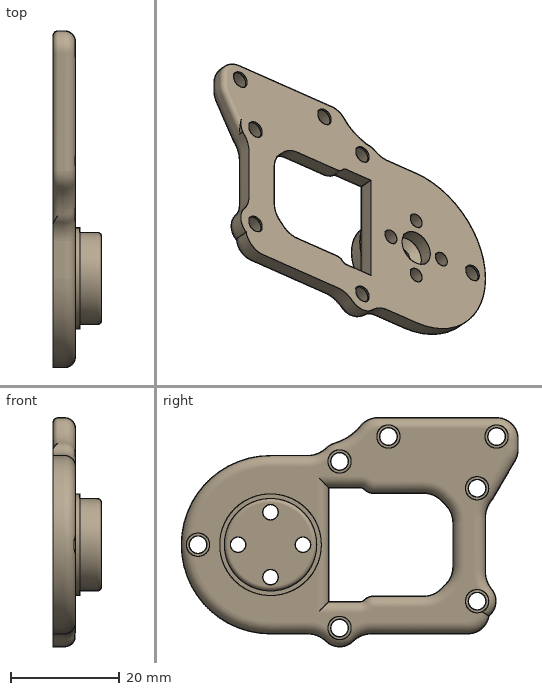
import cadquery as cq
import math


plate_thickness = 4.2
front_round = 2.1
back_round = 1.0
trim_margin = 1.0
lug_clearance = 0.02
end_radius = 16.5
side_y = 39.75
corner_radius = 4.0
corner_y = 36.45

lug_radius = 3.5
middle_lug = (12.77, 15.4)
side_lug = (38.2, 10.44)
middle_blend = 5.0
side_blend = 5.0

flap_top = 23.5
flap_outer_y = 45.8
flap_inner_center = (19.8, flap_top - corner_radius)
flap_outer_center_y = flap_outer_y - corner_radius
flap_lower_center = (flap_outer_center_y, 17.6)
flap_blend = 10.0

window_inner_y = 10.8
window_outer_y = 33.7
window_half_height = 10.5
window_narrow_half_height = 9.5
window_step_y = 17.55
window_step_width = 1.0
window_step_convex_radius = 2.2
window_step_concave_radius = 0.9
window_corner_cut = 3.5
window_corner_radius = 4.5
selection_margin = 0.1

collar_radius = 9.4
collar_top = 5.0
hub_radius = 8.55
hub_top = 9.0
hub_round = 0.8
bore_radius = 3.35
bore_depth = 2.65
bore_tip_radius = 1.5
bore_tip_angle = math.radians(118)
bore_tip_length = (bore_radius - bore_tip_radius) / math.tan(bore_tip_angle / 2)

screw_radius = 1.6
pocket_radius = 2.15
pocket_floor = 0.4
end_hole = (-13.4, 0.0)
flap_holes = [(41.8, 20.0), (21.8, 20.0)]
hub_hole_radius = 1.4
hub_hole_circle = 6.0
hub_hole_count = 4


def unit(start, end):
    length = math.dist(start, end)
    return ((end[0] - start[0]) / length, (end[1] - start[1]) / length)


def along(point, direction, distance):
    return (point[0] + direction[0] * distance, point[1] + direction[1] * distance)


def mirrored(point):
    return (point[0], -point[1])


def circles_meet(center_a, radius_a, center_b, radius_b, side):
    """Crossing point of two circles, to the left (side 1) or right (side -1) of the line a to b."""
    gap = math.dist(center_a, center_b)
    direction = unit(center_a, center_b)
    reach = (gap**2 + radius_a**2 - radius_b**2) / (2 * gap)
    offset = math.sqrt(radius_a**2 - reach**2)
    normal = (-direction[1], direction[0])
    return along(along(center_a, direction, reach), normal, side * offset)


def arc(sketch, center, radius, end):
    """Add the shorter arc about a center from the current point to the end point."""
    start = sketch.val() if isinstance(sketch.val(), cq.Vector) else sketch.val().endPoint()
    local_start = sketch.plane.toLocalCoords(start)
    chord_middle = ((local_start.x + end[0]) / 2, (local_start.y + end[1]) / 2)
    return sketch.threePointArc(along(center, unit(center, chord_middle), radius), end)


middle_blend_z = end_radius + middle_blend
middle_blend_reach = math.sqrt(
    (lug_radius + middle_blend) ** 2 - (middle_blend_z - middle_lug[1]) ** 2
)
inner_blend_center = (middle_lug[0] - middle_blend_reach, middle_blend_z)
outer_blend_center = (middle_lug[0] + middle_blend_reach, middle_blend_z)

side_blend_y = side_y + side_blend
side_blend_reach = math.sqrt((lug_radius + side_blend) ** 2 - (side_blend_y - side_lug[0]) ** 2)
side_blend_center = (side_blend_y, side_lug[1] - side_blend_reach)

flap_blend_center = circles_meet(
    flap_inner_center, corner_radius + flap_blend, middle_lug, lug_radius + flap_blend, -1
)

middle_lug_inner = along(middle_lug, unit(middle_lug, inner_blend_center), lug_radius)
middle_lug_outer = along(middle_lug, unit(middle_lug, outer_blend_center), lug_radius)
middle_lug_flap = along(middle_lug, unit(middle_lug, flap_blend_center), lug_radius)
flap_inner_end = along(flap_inner_center, unit(flap_inner_center, flap_blend_center), corner_radius)
side_lug_blend = along(side_lug, unit(side_lug, side_blend_center), lug_radius)

slope = unit(flap_lower_center, side_lug)
slope_gap = math.dist(flap_lower_center, side_lug)
slope_angle = math.atan2(slope[1], slope[0]) + math.acos((corner_radius - lug_radius) / slope_gap)
slope_normal = (math.cos(slope_angle), math.sin(slope_angle))
slope_top = along(flap_lower_center, slope_normal, corner_radius)
slope_bottom = along(side_lug, slope_normal, lug_radius)

lower_corner_center = (corner_y, corner_radius - end_radius)
lower_corner_notch = circles_meet(
    mirrored(side_lug), lug_radius, lower_corner_center, corner_radius, 1
)


def flap_rim(sketch):
    """Trace the flap edge from the end of its concave blend to the side lug."""
    sketch = arc(sketch, flap_blend_center, flap_blend, flap_inner_end)
    sketch = arc(sketch, flap_inner_center, corner_radius, (flap_inner_center[0], flap_top))
    sketch = sketch.lineTo(flap_outer_center_y, flap_top)
    outer_center = (flap_outer_center_y, flap_inner_center[1])
    sketch = arc(sketch, outer_center, corner_radius, (flap_outer_y, outer_center[1]))
    sketch = sketch.lineTo(flap_outer_y, flap_lower_center[1])
    sketch = arc(sketch, flap_lower_center, corner_radius, slope_top)
    return sketch.lineTo(*slope_bottom)


def make_outline():
    sketch = cq.Workplane("YZ").moveTo(0, -end_radius)
    sketch = sketch.threePointArc((-end_radius, 0), (0, end_radius))
    sketch = sketch.lineTo(inner_blend_center[0], end_radius)
    sketch = arc(sketch, inner_blend_center, middle_blend, middle_lug_inner)
    sketch = arc(sketch, middle_lug, lug_radius, middle_lug_flap)
    sketch = flap_rim(sketch)
    sketch = arc(sketch, side_lug, lug_radius, side_lug_blend)
    sketch = arc(sketch, side_blend_center, side_blend, (side_y, side_blend_center[1]))
    sketch = sketch.lineTo(side_y, -side_blend_center[1])
    sketch = arc(sketch, mirrored(side_blend_center), side_blend, mirrored(side_lug_blend))
    sketch = arc(sketch, mirrored(side_lug), lug_radius, lower_corner_notch)
    sketch = arc(sketch, lower_corner_center, corner_radius, (corner_y, -end_radius))
    sketch = sketch.lineTo(outer_blend_center[0], -end_radius)
    sketch = arc(sketch, mirrored(outer_blend_center), middle_blend, mirrored(middle_lug_outer))
    sketch = arc(sketch, mirrored(middle_lug), lug_radius, mirrored(middle_lug_inner))
    sketch = arc(sketch, mirrored(inner_blend_center), middle_blend, (inner_blend_center[0], -end_radius))
    return sketch.close().extrude(plate_thickness)


def make_flap_trim():
    """Sweep the waste outside the back rounding along the flap edge; the side lug stays sharp."""
    start_y = flap_blend_center[0]
    edge_z = flap_blend_center[1] - flap_blend
    rim = flap_rim(cq.Workplane("YZ").moveTo(start_y, edge_z))
    arc_reach = back_round * (1 - math.sqrt(0.5))
    waste = (
        cq.Workplane("XZ", origin=(0, start_y, 0))
        .moveTo(0, edge_z - back_round)
        .threePointArc((arc_reach, edge_z - arc_reach), (back_round, edge_z))
        .lineTo(back_round, edge_z + trim_margin)
        .lineTo(-trim_margin, edge_z + trim_margin)
        .lineTo(-trim_margin, edge_z - back_round)
        .lineTo(0, edge_z - back_round)
        .close()
        .sweep(rim)
    )
    sharp_lug = (
        cq.Workplane("YZ", origin=(-trim_margin, 0, 0))
        .center(*side_lug)
        .circle(lug_radius - lug_clearance)
        .extrude(trim_margin + plate_thickness)
    )
    return waste.cut(sharp_lug)


def make_window():
    step_start = window_step_y - window_step_width / 2
    step_end = window_step_y + window_step_width / 2
    upper = [
        (window_inner_y, window_half_height),
        (step_start, window_half_height),
        (step_end, window_narrow_half_height),
        (window_outer_y - window_corner_cut, window_narrow_half_height),
        (window_outer_y, window_narrow_half_height - window_corner_cut),
    ]
    lower = [mirrored(point) for point in reversed(upper)]
    return cq.Workplane("YZ").polyline(upper + lower).close().extrude(plate_thickness)


def window_band(y_start, y_end):
    """Selector for everything between two Y positions within the plate height."""
    return cq.selectors.BoxSelector((-1, y_start, -end_radius), (hub_top, y_end, end_radius))


def round_window_corners(window):
    step_end = window_step_y + window_step_width
    corners = window_band(step_end, flap_outer_y)
    convex_steps = window_band(window_step_y, step_end)
    concave_steps = window_band(window_step_y - window_step_width, window_step_y)
    window = window.edges("|X").edges(corners).fillet(window_corner_radius)
    window = window.edges("|X").edges(convex_steps).fillet(window_step_convex_radius)
    return window.edges("|X").edges(concave_steps).fillet(window_step_concave_radius)


def make_hub():
    collar = cq.Workplane("YZ").circle(collar_radius).extrude(collar_top)
    boss = cq.Workplane("YZ").circle(hub_radius).extrude(hub_top)
    return collar.union(boss.faces(">X").edges().fillet(hub_round))


def make_bore():
    """Blind bore from the back face with a conical, flat-tipped end."""
    profile = [
        (0, 0),
        (0, bore_radius),
        (bore_depth, bore_radius),
        (bore_depth + bore_tip_length, bore_tip_radius),
        (bore_depth + bore_tip_length, 0),
    ]
    return cq.Workplane("XY").polyline(profile).close().revolve(360, (0, 0), (1, 0))


def make_holes():
    lug_holes = [middle_lug, mirrored(middle_lug), side_lug, mirrored(side_lug)]
    screw_points = lug_holes + flap_holes + [end_hole]
    screws = cq.Workplane("YZ").pushPoints(screw_points).circle(screw_radius).extrude(plate_thickness)
    pockets = (
        cq.Workplane("YZ", origin=(pocket_floor, 0, 0))
        .pushPoints(screw_points)
        .circle(pocket_radius)
        .extrude(plate_thickness - pocket_floor)
    )
    hub = cq.Workplane("YZ").polarArray(hub_hole_circle, 0, 360, hub_hole_count).circle(hub_hole_radius)
    return screws.union(pockets).union(hub.extrude(hub_top))


plate = make_outline().cut(make_flap_trim())
plate = plate.faces(">X").edges().fillet(front_round)
plate = plate.cut(round_window_corners(make_window()))
window_rim = window_band(window_inner_y - selection_margin, window_outer_y + selection_margin)
plate = plate.faces(">X").edges(window_rim).fillet(front_round)
result = plate.union(make_hub()).cut(make_bore()).cut(make_holes())